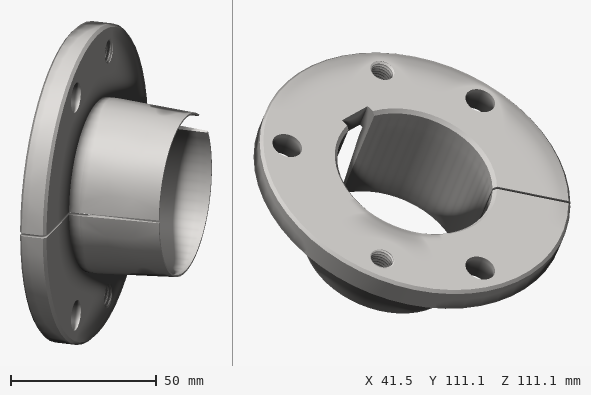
import cadquery as cq
import math

flange_diameter = 111.1
flange_thickness = 9.6
edge_chamfer = 1.0

total_length = 41.5
collar_end = 13.5
collar_radius = 30.3
hub_end_radius = 28.5

bore_radius = 27.8
bore_chamfer = 1.2
keyway_width = 13.0
keyway_floor = 30.9
keyway_angle = 45.0
slit_width = 1.0

bolt_circle_radius = 46.0
clearance_diameter = 10.6
clearance_angles = (0.0, 120.0, 240.0)
tapped_angles = (75.0, -75.0)

thread_minor_radius = 3.95
thread_major_radius = 4.8
thread_pitch = 1.2
groove_mouth = 0.85 * thread_pitch
groove_root = 0.12 * thread_pitch
thread_overlap = 0.1


def body():
    """Revolve the flange and hub section, bore included, about X."""
    flange_radius = flange_diameter / 2
    section = (
        cq.Workplane("XY")
        .moveTo(0, bore_radius + bore_chamfer)
        .lineTo(0, flange_radius - edge_chamfer)
        .lineTo(edge_chamfer, flange_radius)
        .lineTo(flange_thickness - edge_chamfer, flange_radius)
        .lineTo(flange_thickness, flange_radius - edge_chamfer)
        .lineTo(flange_thickness, collar_radius)
        .lineTo(collar_end, collar_radius)
        .lineTo(total_length, hub_end_radius)
        .lineTo(total_length, bore_radius)
        .lineTo(bore_chamfer, bore_radius)
        .close()
    )
    return section.revolve(360, (0, 0, 0), (1, 0, 0))


def keyway():
    """Key slot from the axis outwards; it breaks through the hub wall."""
    slot = cq.Workplane("XY").box(
        total_length, keyway_floor, keyway_width, centered=(False, False, True)
    )
    return slot.rotate((0, 0, 0), (1, 0, 0), keyway_angle)


def slit():
    """Radial saw cut through the -Y side of flange and hub."""
    blade = cq.Workplane("XY").box(
        total_length, flange_diameter / 2, slit_width, centered=(False, False, True)
    )
    return blade.translate((0, -flange_diameter / 2, 0))


def flange_hole(radius, angle):
    """Through hole in the flange, on the bolt circle."""
    drill = cq.Workplane("YZ").center(bolt_circle_radius, 0).circle(radius).extrude(flange_thickness)
    return drill.rotate((0, 0, 0), (1, 0, 0), angle)


def thread_groove(angle):
    """Helical V groove that runs out past both flange faces."""
    inner_radius = thread_minor_radius - thread_overlap
    length = flange_thickness + 2 * thread_pitch
    path = cq.Wire.makeHelix(thread_pitch, length, inner_radius)
    groove = (
        cq.Workplane("XZ")
        .moveTo(inner_radius, -groove_mouth / 2)
        .lineTo(thread_major_radius, -groove_root / 2)
        .lineTo(thread_major_radius, groove_root / 2)
        .lineTo(inner_radius, groove_mouth / 2)
        .close()
        .sweep(cq.Workplane(path), isFrenet=True)
    )
    along_x = groove.rotate((0, 0, 0), (0, 1, 0), 90).rotate((0, 0, 0), (1, 0, 0), 90)
    placed = along_x.translate((-thread_pitch, bolt_circle_radius, 0))
    return placed.rotate((0, 0, 0), (1, 0, 0), angle)


result = body().cut(keyway()).cut(slit())

for hole_angle in clearance_angles:
    result = result.cut(flange_hole(clearance_diameter / 2, hole_angle))

for hole_angle in tapped_angles:
    result = result.cut(thread_groove(hole_angle))
    result = result.cut(flange_hole(thread_minor_radius, hole_angle))